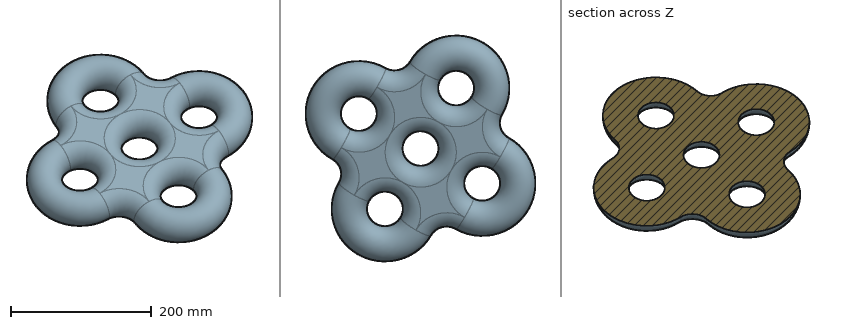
import cadquery as cq

overall_width = 353.5
rim_radius = overall_width / 14
thickness = 2 * rim_radius
ring_radius = 2 * rim_radius
hole_spacing = 2 * ring_radius
grid_positions = (-hole_spacing, 0, hole_spacing)
quarter_turns = (0, 90, 180, 270)
fuse_tolerance = 0.0001


def rounded_hole():
    """Cutter for a through hole whose wall is the inside of a torus."""
    return (
        cq.Workplane("XZ")
        .moveTo(0, -rim_radius)
        .lineTo(ring_radius, -rim_radius)
        .threePointArc((ring_radius - rim_radius, 0), (ring_radius, rim_radius))
        .lineTo(0, rim_radius)
        .close()
        .revolve(360, (0, 0, 0), (0, 1, 0))
    )


def central_web():
    """Square block cut by a grid of equal rounded holes.

    The holes on its corners leave the concave valleys between the lobes, those on its
    sides leave the inner halves of the outer rings.
    """
    web = cq.Workplane("XY").box(2 * hole_spacing, 2 * hole_spacing, thickness)
    for x in grid_positions:
        for y in grid_positions:
            web = web.cut(rounded_hole().translate((x, y, 0)))
    return web


def outer_half_ring():
    """Outer half of the ring around the hole on the +X side."""
    return (
        cq.Workplane("XZ")
        .center(ring_radius, 0)
        .circle(rim_radius)
        .revolve(180, (-ring_radius, 0, 0), (-ring_radius, 1, 0))
        .rotate((0, 0, 0), (0, 0, 1), -90)
        .translate((hole_spacing, 0, 0))
    )


half_rings = [
    outer_half_ring().rotate((0, 0, 0), (0, 0, 1), angle).val() for angle in quarter_turns
]
part = central_web().val().fuse(*half_rings, tol=fuse_tolerance)
result = cq.Workplane("XY").newObject(part.Solids())